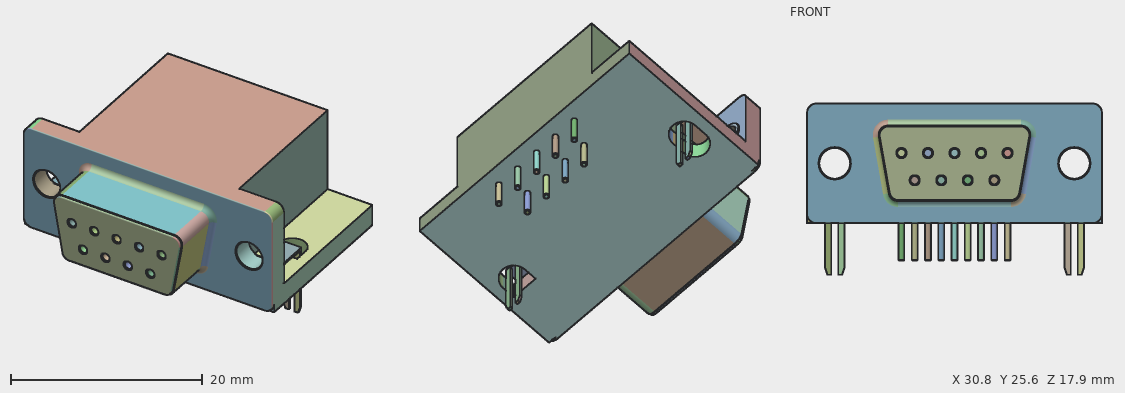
import cadquery as cq
import math


WIDTH = 30.8
HEIGHT = 12.5
DEPTH = 19.5
BLOCK_WIDTH = 19.75
FOOT_HEIGHT = 2.55
FLANGE_DEPTH = 2.25
FLANGE_CORNER_RADIUS = 1.0

PLATE_THICKNESS = 0.3
PLATE_CORNER_RADIUS = FLANGE_CORNER_RADIUS
PLATE_EDGE_RADIUS = 0.1

MOUNT_X = 12.5
MOUNT_Z = HEIGHT / 2
MOUNT_HOLE_DIAMETER = 3.2
RING_DIAMETER = 4.0
RING_THICKNESS = 0.2

SHELL_TOP_WIDTH = 15.85
SHELL_HEIGHT = 7.9
SHELL_LENGTH = 6.1
SHELL_CORNER_RADIUS = 1.0
SHELL_SIDE_ANGLE = 10
SHELL_ROOT_RADIUS = 0.6

FACE_INSET = 0.12
FACE_STEP = 0.33
FACE_EDGE_RADIUS = 0.1

CONTACT_PITCH = 2.77
UPPER_COUNT = 5
LOWER_COUNT = 4
UPPER_ROW_Z = 7.32
ROW_SPACING = 2.84
SOCKET_DIAMETER = 0.85
SOCKET_DEPTH = 5.0
SOCKET_CHAMFER = 0.12

PIN_DIAMETER = 0.64
PIN_LENGTH = 3.9
PIN_CHAMFER = 0.1
REAR_PIN_INSET = 1.8

STRAP_WIDTH = 2.05
STRAP_THICKNESS = 0.3
STRAP_RISE = 0.2
LEG_Y = 8.45
LEG_LENGTH = 5.4
PRONG_WIDTH = 0.67
PRONG_TAPER_HEIGHT = 0.75
PRONG_TAPER_WIDTH = 0.25

SLOT_WIDTH = MOUNT_HOLE_DIAMETER
SLOT_RUN = 1.6

SIDES = (-1, 1)


def box(x_limits, y_limits, z_limits):
    """Axis-aligned box between pairs of coordinates."""
    size = [high - low for low, high in (x_limits, y_limits, z_limits)]
    corner = (x_limits[0], y_limits[0], z_limits[0])
    return cq.Workplane("XY").box(*size, centered=False).translate(corner)


def front_cylinder(x, z, diameter, y_front, length):
    """Cylinder along Y that runs backwards from y_front."""
    plane = cq.Workplane("XZ", origin=(x, y_front, z))
    return plane.circle(diameter / 2).extrude(-length)


def make_housing():
    """Connector block, low feet on both sides and the flange."""
    half_width = WIDTH / 2
    half_block = BLOCK_WIDTH / 2
    block = box((-half_block, half_block), (FLANGE_DEPTH, DEPTH), (0, HEIGHT))
    feet = box((-half_width, half_width), (FLANGE_DEPTH, DEPTH), (0, FOOT_HEIGHT))
    flange = box((-half_width, half_width), (PLATE_THICKNESS, FLANGE_DEPTH), (0, HEIGHT))
    flange = flange.edges("|Y and >Z").fillet(FLANGE_CORNER_RADIUS)
    return block.union(feet).union(flange)


def cut_foot_slots(body):
    """Vertical slots: the left one has two round ends, the right one a flat front end."""
    front_y = LEG_Y - SLOT_RUN
    for side in SIDES:
        x = side * MOUNT_X
        x_limits = (x - SLOT_WIDTH / 2, x + SLOT_WIDTH / 2)
        slot = box(x_limits, (front_y, LEG_Y), (0, FOOT_HEIGHT))
        round_ends = [(x, LEG_Y)]
        if side < 0:
            round_ends.append((x, front_y))
        ends = cq.Workplane("XY").pushPoints(round_ends).circle(SLOT_WIDTH / 2).extrude(FOOT_HEIGHT)
        body = body.cut(slot).cut(ends)
    return body


def make_front():
    """Metal plate, the D-shaped shell blended into it and the insulator face."""
    plate = box((-WIDTH / 2, WIDTH / 2), (0, PLATE_THICKNESS), (0, HEIGHT))
    plate = plate.edges("|Y").fillet(PLATE_CORNER_RADIUS)
    plate = plate.faces("<Y").edges().fillet(PLATE_EDGE_RADIUS)

    half_corner_angle = math.radians((90 - SHELL_SIDE_ANGLE) / 2)
    corner_reach = SHELL_CORNER_RADIUS / math.tan(half_corner_angle)
    half_top = SHELL_TOP_WIDTH / 2 - SHELL_CORNER_RADIUS + corner_reach
    half_bottom = half_top - SHELL_HEIGHT * math.tan(math.radians(SHELL_SIDE_ANGLE))
    top_z = HEIGHT / 2 + SHELL_HEIGHT / 2
    bottom_z = top_z - SHELL_HEIGHT
    outline = [(-half_top, top_z), (half_top, top_z), (half_bottom, bottom_z), (-half_bottom, bottom_z)]
    shell = cq.Workplane("XZ").polyline(outline).close().extrude(SHELL_LENGTH - FACE_STEP)
    shell = shell.edges("|Y").fillet(SHELL_CORNER_RADIUS)
    face = shell.faces("<Y").wires().toPending().offset2D(-FACE_INSET).extrude(FACE_STEP, combine=False)
    face = face.faces("<Y").edges().fillet(FACE_EDGE_RADIUS)

    front = plate.union(shell).union(face)
    tolerance = 0.01
    root_zone = cq.selectors.BoxSelector(
        (-half_top - tolerance, -tolerance, bottom_z - tolerance),
        (half_top + tolerance, tolerance, top_z + tolerance),
    )
    return front.edges(root_zone).fillet(SHELL_ROOT_RADIUS)


def row_positions(count):
    """Centred X positions of one contact row."""
    return [(i - (count - 1) / 2) * CONTACT_PITCH for i in range(count)]


def cut_sockets(body):
    """Chamfered contact holes in the shell face."""
    rows = ((UPPER_COUNT, UPPER_ROW_Z), (LOWER_COUNT, UPPER_ROW_Z - ROW_SPACING))
    radius = SOCKET_DIAMETER / 2
    for count, z in rows:
        for x in row_positions(count):
            bore = front_cylinder(x, z, SOCKET_DIAMETER, -SHELL_LENGTH, SOCKET_DEPTH)
            mouth = cq.Solid.makeCone(
                radius + SOCKET_CHAMFER,
                radius,
                SOCKET_CHAMFER,
                pnt=cq.Vector(x, -SHELL_LENGTH, z),
                dir=cq.Vector(0, 1, 0),
            )
            body = body.cut(bore).cut(cq.Workplane(mouth))
    return body


def add_pins(body):
    """Solder pins, the upper contact row at the rear."""
    rear_y = DEPTH - REAR_PIN_INSET
    for count, y in ((UPPER_COUNT, rear_y), (LOWER_COUNT, rear_y - ROW_SPACING)):
        for x in row_positions(count):
            pin = cq.Workplane("XY").center(x, y).circle(PIN_DIAMETER / 2).extrude(-PIN_LENGTH)
            pin = pin.faces("<Z").chamfer(PIN_CHAMFER)
            body = body.union(pin)
    return body


def make_prong(x, side):
    """Leg prong whose outer edge, on the given side, tapers at the tip."""
    outer = x + side * STRAP_WIDTH / 2
    inner = outer - side * PRONG_WIDTH
    outline = [
        (inner, FOOT_HEIGHT),
        (outer, FOOT_HEIGHT),
        (outer, -LEG_LENGTH + PRONG_TAPER_HEIGHT),
        (outer - side * PRONG_TAPER_WIDTH, -LEG_LENGTH),
        (inner, -LEG_LENGTH),
    ]
    plane = cq.Workplane("XZ", origin=(0, LEG_Y + STRAP_THICKNESS / 2, 0))
    return plane.polyline(outline).close().extrude(STRAP_THICKNESS)


def add_bracket(body, x):
    """Rivet ring, L-shaped strap and two-pronged leg."""
    ring = front_cylinder(x, MOUNT_Z, RING_DIAMETER, FLANGE_DEPTH, RING_THICKNESS)
    strap_top = FOOT_HEIGHT + STRAP_RISE
    strap_rear = LEG_Y + STRAP_THICKNESS / 2
    x_limits = (x - STRAP_WIDTH / 2, x + STRAP_WIDTH / 2)
    flat = box(x_limits, (FLANGE_DEPTH, strap_rear), (strap_top - STRAP_THICKNESS, strap_top))
    upright_top = MOUNT_Z - MOUNT_HOLE_DIAMETER / 2
    upright_y = (FLANGE_DEPTH, FLANGE_DEPTH + STRAP_THICKNESS)
    upright = box(x_limits, upright_y, (FOOT_HEIGHT, upright_top))
    body = body.union(ring).union(flat).union(upright)
    for side in SIDES:
        body = body.union(make_prong(x, side))
    return body


def cut_mount_hole(body, x):
    """Mounting hole through flange and ring, with an eased front edge."""
    length = FLANGE_DEPTH + STRAP_THICKNESS
    radius = MOUNT_HOLE_DIAMETER / 2
    hole = front_cylinder(x, MOUNT_Z, MOUNT_HOLE_DIAMETER, 0, length)
    mouth = cq.Solid.makeCone(
        radius + PLATE_EDGE_RADIUS,
        radius,
        PLATE_EDGE_RADIUS,
        pnt=cq.Vector(x, 0, MOUNT_Z),
        dir=cq.Vector(0, 1, 0),
    )
    return body.cut(hole).cut(cq.Workplane(mouth))


result = cut_foot_slots(make_housing())
result = result.union(make_front())
result = cut_sockets(result)
result = add_pins(result)
for mount_side in SIDES:
    result = add_bracket(result, mount_side * MOUNT_X)
    result = cut_mount_hole(result, mount_side * MOUNT_X)